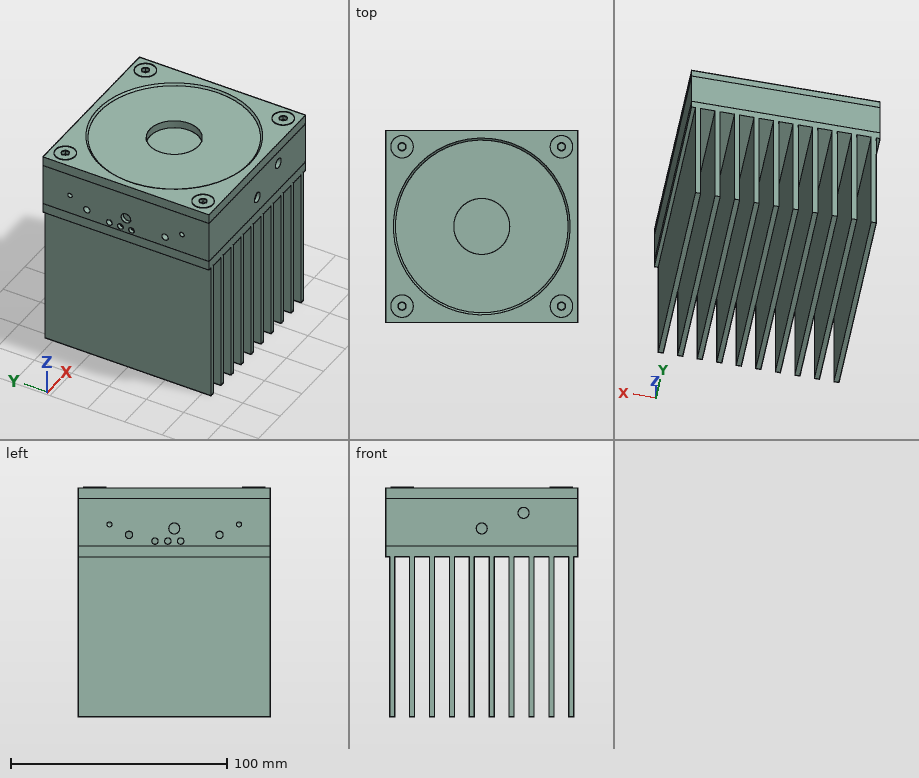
import cadquery as cq
import math

side = 89.0
half_side = side / 2
fin_height = 74.0
base_thickness = 5.0
block_height = 22.0
plate_thickness = 5.0
base_bottom_z = fin_height
block_bottom_z = base_bottom_z + base_thickness
block_top_z = block_bottom_z + block_height
plate_top_z = block_top_z + plate_thickness

fin_count = 10
fin_thickness = 2.4
fin_row_width = 85.4
fin_pitch = (fin_row_width - fin_thickness) / (fin_count - 1)

recess_rim_radius = 41.0
recess_depth = 1.0
recess_floor_radius = recess_rim_radius - recess_depth
window_radius = 13.0

screw_offset = 36.9
head_radius = 5.2
head_proud = 0.3
head_height = 3.2
shank_radius = 2.1
shank_length = 12.8
socket_across_corners = 3.8
socket_rim_radius = 1.9
socket_depth = 2.1
head_bottom_z = plate_top_z + head_proud - head_height
screw_corners = [
    (sx * screw_offset, sy * screw_offset) for sx in (-1, 1) for sy in (-1, 1)
]

port_floor_radius = 42.7
main_port_drop = 18.8
main_port_radius = 2.5
side_port_x = 19.4
side_port_drop = 11.6
wire_pitch = 6.0
wire_drop = 24.7
wire_radius = 1.5
tube_offset = 21.0
tube_drop = 21.8
tube_radius = 1.7
front_ports = [
    (0, main_port_drop, main_port_radius),
    (side_port_x, side_port_drop, main_port_radius),
]
left_ports = [
    (0, main_port_drop, main_port_radius),
    (-wire_pitch / 2, wire_drop, wire_radius),
    (wire_pitch / 2, wire_drop, wire_radius),
    (wire_pitch * 3 / 2, wire_drop, wire_radius),
    (-tube_offset, tube_drop, tube_radius),
    (tube_offset, tube_drop, tube_radius),
]

tapped_offset = 30.0
tapped_drop = 16.9
tapped_radius = 1.2
tapped_depth = 6.4
drill_point_angle = 118
drill_point_length = tapped_radius / math.tan(math.radians(drill_point_angle / 2))


def square_layer(bottom_z, thickness):
    return cq.Workplane("XY").workplane(offset=bottom_z).rect(side, side).extrude(thickness)


def cylinder(x, y, bottom_z, radius, height):
    return cq.Workplane("XY").workplane(offset=bottom_z).center(x, y).circle(radius).extrude(height)


def make_screw_body(x, y):
    """Head and shank without the socket, also used to cut the matching seat."""
    head = cylinder(x, y, head_bottom_z, head_radius, head_height)
    return head.union(cylinder(x, y, head_bottom_z - shank_length, shank_radius, shank_length))


def make_heat_sink():
    sink = square_layer(base_bottom_z, base_thickness)
    first_fin_x = -(fin_row_width - fin_thickness) / 2
    for i in range(fin_count):
        fin = cq.Workplane("XY").center(first_fin_x + i * fin_pitch, 0)
        sink = sink.union(fin.rect(fin_thickness, side).extrude(base_bottom_z))
    return sink


def front_port(x, drop, radius):
    """Round cutter running along +Y from the -Y face."""
    start = cq.Vector(x, -half_side, plate_top_z - drop)
    return cq.Solid.makeCylinder(radius, half_side, start, cq.Vector(0, 1, 0))


def left_port(y, drop, radius):
    """Round cutter running along +X from the -X face."""
    start = cq.Vector(-half_side, y, plate_top_z - drop)
    return cq.Solid.makeCylinder(radius, half_side, start, cq.Vector(1, 0, 0))


def tapped_hole(y):
    """Blind cutter along +X from the -X face, ending in a drill point."""
    inward = cq.Vector(1, 0, 0)
    start = cq.Vector(-half_side, y, plate_top_z - tapped_drop)
    drill = cq.Solid.makeCylinder(tapped_radius, tapped_depth, start, inward)
    point = cq.Solid.makeCone(
        tapped_radius, 0, drill_point_length, start + inward * tapped_depth, inward
    )
    return drill.fuse(point)


def make_block():
    block = square_layer(block_bottom_z, block_height)
    core = cylinder(0, 0, block_bottom_z, port_floor_radius, block_height)
    ports = [front_port(*port) for port in front_ports] + [left_port(*port) for port in left_ports]
    for port in ports:
        block = block.cut(cq.Workplane(port).cut(core))
    for y in (-tapped_offset, tapped_offset):
        block = block.cut(cq.Workplane(tapped_hole(y)))
    for x, y in screw_corners:
        block = block.cut(make_screw_body(x, y))
    return block


def make_plate():
    plate = square_layer(block_top_z, plate_thickness)
    recess = cq.Solid.makeCone(
        recess_floor_radius,
        recess_rim_radius,
        recess_depth,
        cq.Vector(0, 0, plate_top_z - recess_depth),
    )
    plate = plate.cut(cq.Workplane(recess))
    plate = plate.cut(cylinder(0, 0, block_top_z, window_radius, plate_thickness))
    for x, y in screw_corners:
        plate = plate.cut(make_screw_body(x, y))
    return plate


def make_screw(x, y):
    """Screw with a hexagon socket that has corners toward +Y and -Y and a 45 degree rim."""
    head_top_z = plate_top_z + head_proud
    socket = (
        cq.Workplane("XY")
        .polygon(6, socket_across_corners)
        .extrude(socket_depth)
        .rotate((0, 0, 0), (0, 0, 1), 90)
        .translate((x, y, head_top_z - socket_depth))
    )
    bevel = cq.Solid.makeCone(
        0, socket_rim_radius, socket_rim_radius, cq.Vector(x, y, head_top_z - socket_rim_radius)
    )
    return make_screw_body(x, y).cut(socket).cut(cq.Workplane(bevel))


heat_sink = make_heat_sink()
block = make_block()
plate = make_plate()
screws = [make_screw(x, y).val() for x, y in screw_corners]

result = cq.Compound.makeCompound([heat_sink.val(), block.val(), plate.val(), *screws])